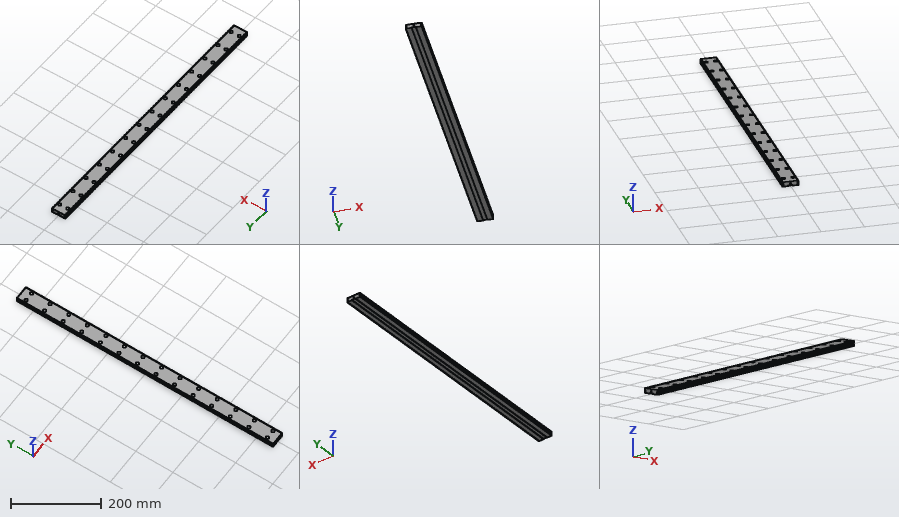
import cadquery as cq

length = 690.0
width = 37.0
height = 11.0
top_chamfer = 1.5
bottom_chamfer = 1.0

groove_depth = 3.0
groove_bottom_z = 3.0
groove_mouth = 4.5
groove_flank_rise = 1.5

relief_width = 10.0
relief_depth = 1.05

end_hole_diameter = 3.0
end_hole_depth = 7.0
end_hole_z = 5.2

recess_diameter = 7.5
recess_depth = 0.15
recess_edge_gap = 3.9
recesses_per_row = 14
end_margin = 20.0
recess_pitch = (length - 2 * end_margin) / (recesses_per_row - 1)
row_spacing = width - recess_diameter - 2 * recess_edge_gap


def half_outline():
    """Section points of the +X half, from the underside up to the top face."""
    side_x = width / 2
    floor_x = side_x - groove_depth
    groove_top_z = groove_bottom_z + groove_mouth
    return [
        (relief_width / 2, relief_depth),
        (relief_width / 2, 0),
        (side_x - bottom_chamfer, 0),
        (side_x, bottom_chamfer),
        (side_x, groove_bottom_z),
        (floor_x, groove_bottom_z + groove_flank_rise),
        (floor_x, groove_top_z - groove_flank_rise),
        (side_x, groove_top_z),
        (side_x, height - top_chamfer),
        (side_x - top_chamfer, height),
    ]


def make_rail():
    """Extrude the mirrored section over the full length."""
    right_half = half_outline()
    left_half = [(-x, z) for x, z in reversed(right_half)]
    section = cq.Workplane("XZ").polyline(right_half + left_half).close()
    return section.extrude(length / 2, both=True)


def make_end_hole():
    """Cutter for the blind hole entering from the -Y end."""
    return (
        cq.Workplane("XZ", origin=(0, -length / 2, end_hole_z))
        .circle(end_hole_diameter / 2)
        .extrude(-end_hole_depth)
    )


def make_recesses():
    """Cutters for both rows of recesses in the top face."""
    return (
        cq.Workplane("XY", origin=(0, 0, height))
        .rarray(row_spacing, recess_pitch, 2, recesses_per_row)
        .circle(recess_diameter / 2)
        .extrude(-recess_depth)
    )


end_hole = make_end_hole()
result = make_rail().cut(end_hole).cut(end_hole.mirror("XZ")).cut(make_recesses())